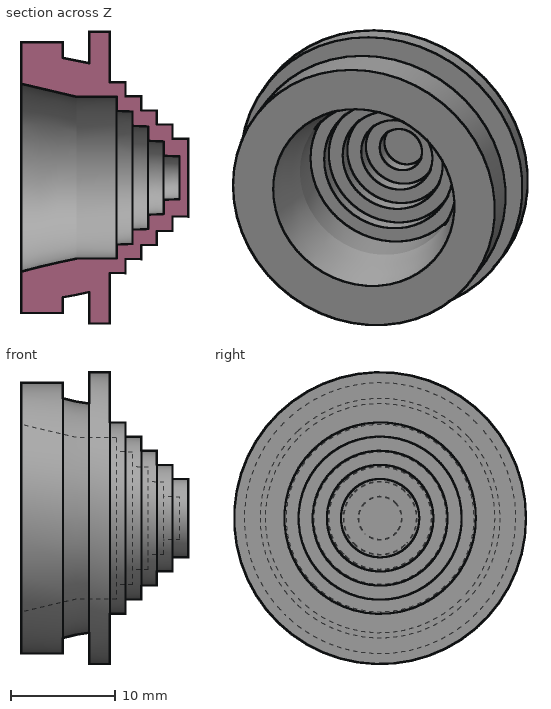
import cadquery as cq


overall_length = 16.01
rim_length = 4.0
neck_length = 2.5
flange_thickness = 2.0
step_count = 5

rim_radius = 13.0
neck_rim_end_radius = 11.5
neck_flange_end_radius = 11.0
flange_radius = 14.0
largest_step_radius = 9.18
smallest_step_radius = 3.76

mouth_radius = 9.0
mouth_depth = 5.3
bore_radius = 7.75
largest_socket_radius = 6.40
smallest_socket_radius = 2.10
socket_taper = 0.06
end_wall = 0.85

neck_end = rim_length + neck_length
flange_end = neck_end + flange_thickness
step_length = (overall_length - flange_end) / step_count
step_radius_drop = (largest_step_radius - smallest_step_radius) / (step_count - 1)
socket_count = step_count - 1
socket_radius_drop = (largest_socket_radius - smallest_socket_radius) / (socket_count - 1)
bore_floor = overall_length - end_wall - socket_count * step_length


def revolve_about_x(outline):
    """Solid of revolution from a closed outline of (x, radius) points."""
    return cq.Workplane("XY").polyline(outline).close().revolve(360, (0, 0, 0), (1, 0, 0))


def make_body():
    outline = [
        (0, 0),
        (0, rim_radius),
        (rim_length, rim_radius),
        (rim_length, neck_rim_end_radius),
        (neck_end, neck_flange_end_radius),
        (neck_end, flange_radius),
        (flange_end, flange_radius),
    ]
    for step in range(step_count):
        radius = largest_step_radius - step * step_radius_drop
        step_start = flange_end + step * step_length
        outline.append((step_start, radius))
        outline.append((step_start + step_length, radius))
    outline.append((overall_length, 0))
    return revolve_about_x(outline)


def make_cavity():
    outline = [(0, 0), (0, mouth_radius), (mouth_depth, bore_radius), (bore_floor, bore_radius)]
    for socket in range(socket_count):
        open_radius = largest_socket_radius - socket * socket_radius_drop
        socket_start = bore_floor + socket * step_length
        outline.append((socket_start, open_radius))
        outline.append((socket_start + step_length, open_radius - socket_taper))
    outline.append((overall_length - end_wall, 0))
    return revolve_about_x(outline)


result = make_body().cut(make_cavity())